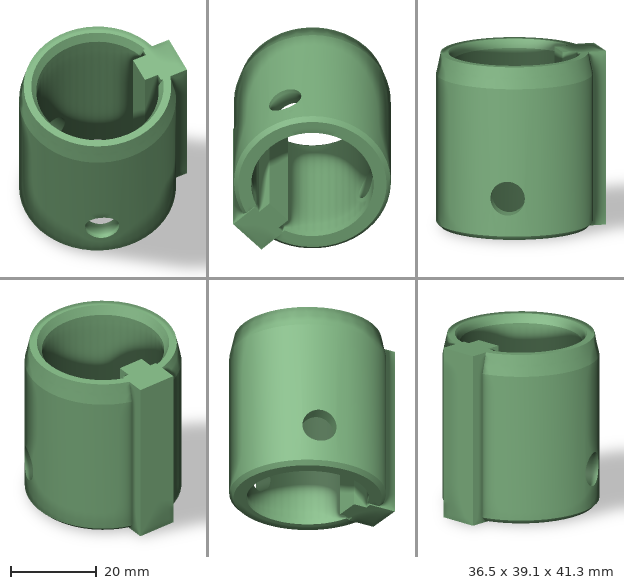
import cadquery as cq

total_height = 41.3
key_protrusion = 0.3
sleeve_height = total_height - key_protrusion

outer_radius = 18.25
bore_radius = 14.25
top_taper_height = 5.0
top_taper_inset = 1.07
bottom_chamfer = 1.0
bore_lead_in_depth = 2.0
bore_lead_in_width = 1.15

hole_diameter = 8.0
hole_height = 10.0
hole_angle = 22.5

key_width = 9.58
key_outer_y = 20.8
key_shoulder_y = 14.08
stem_width = 6.3
stem_inner_y = 10.75


def make_sleeve_blank():
    """Revolve the wall section, including both outer edges and the bore lead-in."""
    return (
        cq.Workplane("XZ")
        .moveTo(bore_radius, 0)
        .lineTo(outer_radius - bottom_chamfer, 0)
        .lineTo(outer_radius, bottom_chamfer)
        .lineTo(outer_radius, sleeve_height - top_taper_height)
        .lineTo(outer_radius - top_taper_inset, sleeve_height)
        .lineTo(bore_radius + bore_lead_in_width, sleeve_height)
        .lineTo(bore_radius, sleeve_height - bore_lead_in_depth)
        .close()
        .revolve(360, (0, 0, 0), (0, 1, 0))
    )


def make_key_slot():
    """Full-height cut through the +Y wall, as wide as the key."""
    return (
        cq.Workplane("XY")
        .rect(key_width, key_outer_y)
        .extrude(sleeve_height)
        .translate((0, key_outer_y / 2, 0))
    )


def make_radial_hole(angle):
    """Cylinder running outward from the sleeve axis at the given angle from +X."""
    return (
        cq.Workplane("YZ")
        .center(0, hole_height)
        .circle(hole_diameter / 2)
        .extrude(2 * outer_radius)
        .rotate((0, 0, 0), (0, 0, 1), angle)
    )


def make_sleeve():
    sleeve = make_sleeve_blank().cut(make_key_slot())
    for angle in (-hole_angle, 180 + hole_angle):
        sleeve = sleeve.cut(make_radial_hole(angle))
    return sleeve


def make_key():
    """T-shaped bar: wide head in the slot, narrow stem reaching into the bore."""
    return (
        cq.Workplane("XY")
        .workplane(offset=-key_protrusion)
        .moveTo(-key_width / 2, key_outer_y)
        .lineTo(key_width / 2, key_outer_y)
        .lineTo(key_width / 2, key_shoulder_y)
        .lineTo(stem_width / 2, key_shoulder_y)
        .lineTo(stem_width / 2, stem_inner_y)
        .lineTo(-stem_width / 2, stem_inner_y)
        .lineTo(-stem_width / 2, key_shoulder_y)
        .lineTo(-key_width / 2, key_shoulder_y)
        .close()
        .extrude(total_height)
    )


sleeve = make_sleeve()
key = make_key()

result = cq.Compound.makeCompound([sleeve.solids().val(), key.val()])